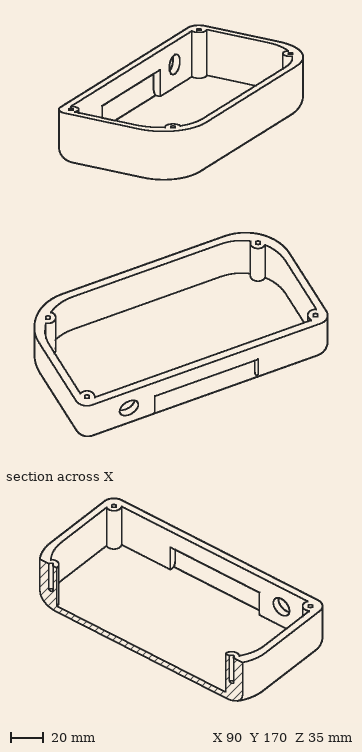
import cadquery as cq
import math

width = 90.0
length = 170.0
height = 35.0
wall = 5.0

tight_radius = 7.5
wide_radius = 30.0
bottom_fillet = 10.0

post_radius = 4.8
tight_post_inset = tight_radius
wide_post_inset = 13.8
screw_diameter = 2.9
screw_depth = 20.0
drill_tip_angle = 118

window_length = 70.0
window_height = 17.5
port_diameter = 12.5
port_y = 52.5
port_z = 20.0


def rounded_block(size_x, size_y, size_z, wide_corner):
    """Block standing on Z = 0 with its two +X vertical edges rounded."""
    block = cq.Workplane("XY").box(size_x, size_y, size_z, centered=(True, True, False))
    return block.edges("|Z and >X").fillet(wide_corner)


def make_shell():
    """Open-topped tray with a rounded bottom edge."""
    outer = rounded_block(width, length, height, wide_radius)
    outer = outer.edges("|Z and <X").fillet(tight_radius)
    outer = outer.faces("<Z").edges().fillet(bottom_fillet)
    cavity = rounded_block(width - 2 * wall, length - 2 * wall, height, wide_radius)
    return outer.cut(cavity.translate((0, 0, wall)))


def post_centers():
    """Post axes, equally far from the end and side at each corner, mirrored about the X axis."""
    tight_x = -width / 2 + tight_post_inset
    tight_y = length / 2 - tight_post_inset
    wide_x = width / 2 - wide_post_inset
    wide_y = length / 2 - wide_post_inset
    return [(x, side * y) for x, y in ((tight_x, tight_y), (wide_x, wide_y)) for side in (-1, 1)]


def make_posts():
    """Four cylinders rising from the cavity floor to the rim."""
    floor = cq.Workplane("XY").workplane(offset=wall)
    return floor.pushPoints(post_centers()).circle(post_radius).extrude(height - wall)


def make_screw_holes():
    """Blind holes drilled down from the rim, each ending in a conical drill tip."""
    radius = screw_diameter / 2
    tip_depth = radius / math.tan(math.radians(drill_tip_angle / 2))
    profile = (
        cq.Workplane("XZ")
        .moveTo(0, height)
        .lineTo(radius, height)
        .lineTo(radius, height - screw_depth)
        .lineTo(0, height - screw_depth - tip_depth)
        .close()
    )
    drill = profile.revolve(360, (0, 0, 0), (0, 1, 0))
    holes = cq.Workplane("XY")
    for x, y in post_centers():
        holes = holes.add(drill.translate((x, y, 0)))
    return holes.combine()


def make_window():
    """Rectangular opening whose sill is level with the cavity floor."""
    window = cq.Workplane("XY").box(wall, window_length, window_height, centered=(False, True, False))
    return window.translate((-width / 2, 0, wall))


def make_port():
    """Round opening beside the window."""
    port = cq.Workplane("YZ").center(port_y, port_z).circle(port_diameter / 2).extrude(wall)
    return port.translate((-width / 2, 0, 0))


result = (
    make_shell()
    .union(make_posts())
    .cut(make_screw_holes())
    .cut(make_window())
    .cut(make_port())
)